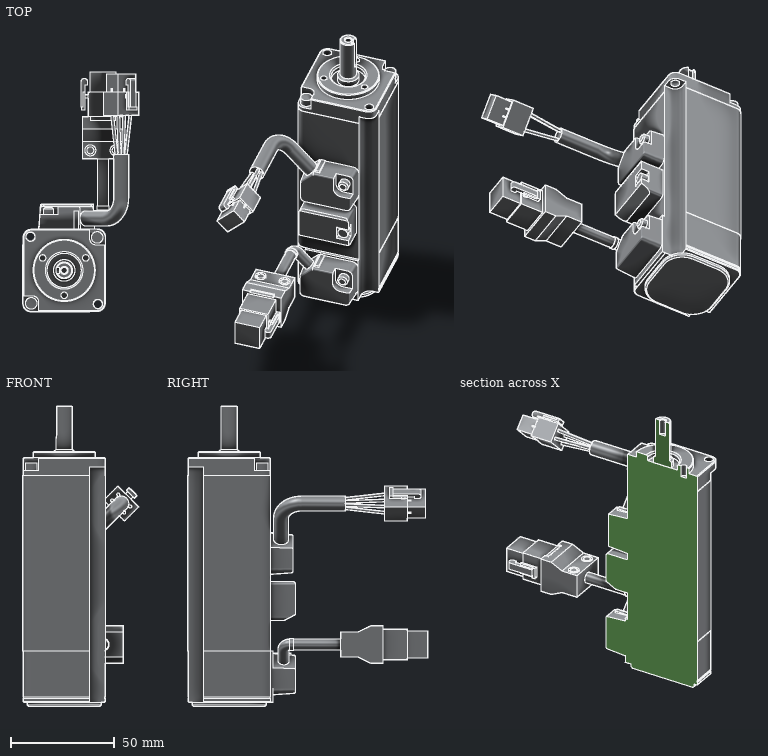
import cadquery as cq
import math


frame_side = 40.0
cover_side = 39.7
corner_radius = 4.0
flange_end_z = -8.5
frame_end_z = -93.2
groove_top_z = -115.4
groove_bottom_z = -116.2
groove_depth = 0.2
cover_end_z = -118.0
end_plate_z = -120.1
end_plate_side = 35.8
end_plate_radius = 11.0
end_plate_chamfer = 0.8
edge_chamfer = 0.4

pilot_diameter = 30.0
pilot_height = 3.0
seal_recess_diameter = 16.5
seal_recess_chamfer = 0.8
mount_hole_circle = 46.0
mount_hole_diameter = 4.3
mount_ear_thickness = 4.5
relief_start = 12.3
relief_radius = 4.2
pocket_depth = 6.2
pocket_radius = 3.0
bolt_offset = 15.9
bolt_diameter = 5.6
bolt_top_z = -2.6
pilot_hole_circle = 24.0
pilot_hole_diameter = 3.1
pilot_hole_depth = 6.0

shaft_diameter = 8.0
shaft_tip_z = 25.0
collar_diameter = 10.4
collar_cone_height = 0.9
key_width = 3.0
key_depth = 1.8
key_end_z = 9.4
center_hole_diameter = 3.0
center_hole_depth = 8.0
center_hole_chamfer = 0.4

connector_left = -12.2
connector_right = 14.7
connector_height = 19.9
connector_depth = 10.8
connector_draft = 4.0
connector_radius = 3.0
connector_edge_radius = 0.8
exit_chamfer = 6.9
exit_rib_width = 2.2
exit_rib_length = 8.7
exit_rib_height = 0.3
screw_notch_right = -3.0
screw_notch_height = 10.9
screw_notch_depth = 3.9
screw_notch_radius = 4.0
screw_head_x = -7.6
screw_head_drop = 5.1
screw_head_diameter = 5.0
screw_head_height = 3.4
wall_y = frame_side / 2
power_top_z = -36.4
encoder_top_z = -94.5
encoder_pad_thickness = 1.2

brake_top_z = -59.6
brake_bottom_z = -78.6
brake_left = -11.0
brake_right = 14.2
brake_depth = 12.0
brake_side_radius = 2.0
brake_top_chamfer = 0.9
brake_slope_depth = 5.5
brake_slope_height = 2.9
brake_notch_depth = 4.2
brake_notch_height = 6.7
brake_notch_width = 6.0
brake_notch_z = -69.3

cable_axis_above_wall = 5.0
cable_insertion = 1.5
power_cable_diameter = 7.3
power_bend_radius = 10.0
power_x = 27.5
power_z = -22.1
power_cable_end_y = 56.0
plug_step_y = 86.0
power_plug_back_y = 74.8
power_plug_front_y = 94.8
power_plug_width = 14.2
power_plug_thickness = 9.75
power_plug_step = 1.0
wire_diameter = 1.4
wire_pitch_width = 8.4
wire_pitch_thickness = 4.2
wire_gather = 0.5
plug_rib_length = 1.8
plug_rib_width = 0.6
plug_rib_height = 0.4
plug_rib_offset = 2.0

encoder_cable_diameter = 5.4
encoder_bend_radius = 3.2
encoder_x = 18.7
encoder_z = -90.1
ferrule_diameter = 6.0
ferrule_start_y = 29.2
ferrule_end_y = 31.0
encoder_plug_back_y = 74.2
encoder_plug_front_y = 95.8
encoder_plug_width = 14.8
encoder_plug_thickness = 14.4
encoder_plug_step = 0.85
hood_start_y = 53.8
hood_taper_start_y = 62.2
hood_taper_end_y = 68.3
hood_width = 19.8
hood_small_height = 12.2
hood_height = 18.2
hood_slot_width = 12.0
hood_slot_length = 1.8
hood_slot_depth = 0.6
hood_screw_y = 57.9
hood_screw_pitch = 12.2
hood_recess_diameter = 5.3
hood_recess_depth = 1.2
hood_screw_diameter = 3.4

latch_gap = 1.4
latch_plate = 1.0
latch_width = 5.6
latch_bar_width = 3.6
latch_back = -8.7
latch_heel = 1.6
latch_front = 6.6
hook_length = 3.2
hook_reach = 1.2
hook_radius = 1.55
latch_heel_drop = 0.2
stem_start = -2.9
stem_length = 1.7

overlap = 0.5


def block(x_range, y_range, z_range):
    """Axis-aligned box given by its limits."""
    sizes = [high - low for low, high in (x_range, y_range, z_range)]
    corner = (x_range[0], y_range[0], z_range[0])
    return cq.Workplane("XY").box(*sizes, centered=False).translate(corner)


def square_prism(side, top_z, bottom_z, radius=corner_radius):
    """Square bar on the motor axis with rounded corners."""
    bar = cq.Workplane("XY").workplane(offset=bottom_z).rect(side, side).extrude(top_z - bottom_z)
    return bar.edges("|Z").fillet(radius)


def corner_cutter(sign_x, sign_y, top_z, bottom_z, radius):
    """Block that clears one corner, with its inner edge rounded."""
    size = frame_side
    middle = relief_start + size / 2
    cutter = (
        cq.Workplane("XY").workplane(offset=bottom_z)
        .center(sign_x * middle, sign_y * middle)
        .rect(size, size)
        .extrude(top_z - bottom_z)
    )
    return cutter.edges("|Z").fillet(radius)


def rod_along_y(x, z, diameter, start_y, end_y):
    """Round bar parallel to Y."""
    start = cq.Vector(x, start_y, z)
    return cq.Workplane(obj=cq.Solid.makeCylinder(diameter / 2, end_y - start_y, start, cq.Vector(0, 1, 0)))


def make_barrel():
    """Flange, frame and rear cover, without the connectors."""
    barrel = square_prism(cover_side, 0, flange_end_z).faces(">Z").edges().chamfer(edge_chamfer)
    barrel = barrel.union(square_prism(frame_side, flange_end_z, frame_end_z))
    barrel = barrel.union(square_prism(cover_side, frame_end_z, groove_top_z))
    barrel = barrel.union(square_prism(cover_side - 2 * groove_depth, groove_top_z, groove_bottom_z))
    cover_foot = square_prism(cover_side, groove_bottom_z, cover_end_z)
    barrel = barrel.union(cover_foot.faces("<Z").edges().chamfer(edge_chamfer))
    end_plate = square_prism(end_plate_side, cover_end_z, end_plate_z, end_plate_radius)
    end_plate = end_plate.faces("<Z").edges().chamfer(end_plate_chamfer)

    mount_offset = mount_hole_circle / 2 * math.cos(math.radians(45))
    for sign in (-1, 1):
        barrel = barrel.cut(corner_cutter(sign, -sign, -mount_ear_thickness, cover_end_z, relief_radius))
        barrel = barrel.cut(corner_cutter(sign, sign, overlap, -pocket_depth, pocket_radius))
        bolt = (
            cq.Workplane("XY").workplane(offset=-pocket_depth - overlap)
            .center(sign * bolt_offset, sign * bolt_offset)
            .circle(bolt_diameter / 2)
            .extrude(bolt_top_z + pocket_depth + overlap)
        )
        mount_hole = (
            cq.Workplane("XY").center(sign * mount_offset, -sign * mount_offset)
            .circle(mount_hole_diameter / 2)
            .extrude(-mount_ear_thickness - overlap)
        )
        barrel = barrel.union(bolt).cut(mount_hole)
    return barrel.union(end_plate)


def add_pilot(barrel):
    """Pilot spigot with the seal recess and three small holes."""
    pilot = cq.Workplane("XY").circle(pilot_diameter / 2).extrude(pilot_height)
    pilot = pilot.faces(">Z").edges().chamfer(edge_chamfer)
    recess = cq.Workplane("XY").circle(seal_recess_diameter / 2).extrude(pilot_height)
    rim = (
        cq.Workplane("XY").workplane(offset=pilot_height - seal_recess_chamfer)
        .circle(seal_recess_diameter / 2)
        .workplane(offset=seal_recess_chamfer)
        .circle(seal_recess_diameter / 2 + seal_recess_chamfer)
        .loft()
    )
    holes = (
        cq.Workplane("XY").workplane(offset=pilot_height)
        .polarArray(pilot_hole_circle / 2, 30, 360, 3)
        .circle(pilot_hole_diameter / 2)
        .extrude(-pilot_hole_depth)
    )
    return barrel.union(pilot).cut(recess).cut(rim).cut(holes)


def make_cable_connector(base_y, top_z):
    """Tapered shell with a 45 degree cable face, a rib beside it and a screw in its upper left corner."""
    bottom_z = top_z - connector_height
    outline = [
        (connector_left, bottom_z),
        (connector_right, bottom_z),
        (connector_right, top_z - exit_chamfer),
        (connector_right - exit_chamfer, top_z),
        (connector_left, top_z),
    ]
    top_y = base_y + connector_depth
    section = cq.Sketch().polygon(outline + outline[:1]).vertices("<X or <Y").fillet(connector_radius)
    shell = (
        cq.Workplane("XZ", origin=(0, base_y, 0))
        .placeSketch(section)
        .extrude(-connector_depth, taper=connector_draft)
    )
    shell = shell.faces(">Y").edges().fillet(connector_edge_radius)
    notch_floor_y = top_y - screw_notch_depth
    notch = block(
        (connector_left - overlap, screw_notch_right),
        (notch_floor_y, top_y + overlap),
        (top_z - screw_notch_height, top_z + overlap),
    )
    notch = notch.edges("|Y and >X and <Z").fillet(screw_notch_radius)
    head = rod_along_y(
        screw_head_x, top_z - screw_head_drop, screw_head_diameter,
        notch_floor_y - overlap, notch_floor_y + screw_head_height,
    )
    head = head.faces(">Y").edges().chamfer(connector_edge_radius)
    foot = block(
        (connector_left + connector_radius, connector_right - connector_radius),
        (base_y - overlap, base_y + overlap),
        (bottom_z + connector_radius, top_z - exit_chamfer),
    )
    rib_right = connector_right - exit_chamfer - connector_edge_radius
    rib = block(
        (rib_right - exit_rib_width, rib_right),
        (base_y, base_y + exit_rib_length),
        (top_z - screw_notch_depth, top_z + exit_rib_height),
    )
    return shell.cut(notch).union(head).union(foot).union(rib)


def make_encoder_pad():
    """Thin raised seat under the encoder connector."""
    return block(
        (-relief_start, connector_right),
        (wall_y - overlap, wall_y + encoder_pad_thickness),
        (cover_end_z, frame_end_z),
    )


def make_brake_connector():
    """Closed connector with a sloped lower edge and a screw notch on its left side."""
    tip_y = wall_y + brake_depth
    profile = [
        (wall_y - overlap, brake_top_z),
        (tip_y - brake_top_chamfer, brake_top_z),
        (tip_y, brake_top_z - brake_top_chamfer),
        (tip_y, brake_bottom_z + brake_slope_height),
        (tip_y - brake_slope_depth, brake_bottom_z),
        (wall_y - overlap, brake_bottom_z),
    ]
    shell = (
        cq.Workplane("YZ", origin=(brake_left, 0, 0))
        .polyline(profile).close()
        .extrude(brake_right - brake_left)
    )
    shell = shell.edges("|Y").edges("<Z or >Z").fillet(brake_side_radius)
    floor_y = tip_y - brake_notch_depth
    notch = block(
        (brake_left - overlap, brake_left + brake_notch_width),
        (floor_y, tip_y + overlap),
        (brake_notch_z - brake_notch_height / 2, brake_notch_z + brake_notch_height / 2),
    )
    head_x = brake_left + brake_notch_width / 2
    head = rod_along_y(head_x, brake_notch_z, screw_head_diameter, floor_y - overlap, tip_y - overlap)
    return shell.cut(notch).union(head)


def make_cable(diameter, bend_radius, axis_y, target, face_sum, end_y):
    """Cable leaving a connector at 45 degrees and bending to run along +Y at target (x, z).

    face_sum is x + z on the 45 degree connector face.
    """
    x, z = target
    diagonal = math.cos(math.radians(45))
    run = (x + z - face_sum) / 2 + cable_insertion
    start = (x - run, axis_y, z - run)
    bend_start = (x - bend_radius * diagonal, axis_y, z - bend_radius * diagonal)
    bend_lag = bend_radius * (1 - diagonal)
    bend_middle = (x - bend_lag * diagonal, axis_y + bend_lag, z - bend_lag * diagonal)
    bend_end = (x, axis_y + bend_radius, z)
    path = cq.Wire.assembleEdges([
        cq.Edge.makeLine(cq.Vector(*start), cq.Vector(*bend_start)),
        cq.Edge.makeThreePointArc(cq.Vector(*bend_start), cq.Vector(*bend_middle), cq.Vector(*bend_end)),
        cq.Edge.makeLine(cq.Vector(*bend_end), cq.Vector(x, end_y, z)),
    ])
    start_plane = cq.Plane(origin=start, xDir=(0, 1, 0), normal=(1, 0, 1))
    return cq.Workplane(start_plane).circle(diameter / 2).sweep(cq.Workplane(obj=path))


def make_plug(width, thickness, step, back_y, front_y):
    """Two-step plug about the Y axis, width along X, with its latch on the +Z face."""
    rear = block((-width / 2, width / 2), (back_y, plug_step_y), (-thickness / 2, thickness / 2))
    half_nose_width = width / 2 - step
    half_nose_thickness = thickness / 2 - step
    nose = block(
        (-half_nose_width, half_nose_width),
        (plug_step_y - overlap, front_y),
        (-half_nose_thickness, half_nose_thickness),
    )
    latch_low = thickness / 2 + latch_gap
    latch_middle = latch_low + latch_plate
    latch_high = latch_middle + latch_plate
    half_wide = latch_width / 2
    half_bar = latch_bar_width / 2
    back = plug_step_y + latch_back
    tip = plug_step_y + latch_front
    stem_y = plug_step_y + stem_start
    hook = block((-half_bar, half_bar), (tip - hook_length, tip), (latch_low - hook_reach, latch_high))
    hook = hook.faces(">Y").edges("|X").fillet(hook_radius)
    pieces = [
        block((-half_wide, half_wide), (back, plug_step_y), (latch_low, latch_middle)),
        block((-half_wide, half_wide), (back, back + latch_heel), (latch_low, latch_high - latch_heel_drop)),
        block((-half_bar, half_bar), (back + latch_heel, tip - hook_length), (latch_low, latch_high)),
        hook,
        block((-half_bar, half_bar), (stem_y, stem_y + stem_length), (thickness / 2 - overlap, latch_middle)),
    ]
    plug = rear.union(nose)
    for piece in pieces:
        plug = plug.union(piece)
    return plug


def make_power_plug():
    """Power plug with keying ribs and four loose wires, turned 45 degrees about its cable."""
    plug = make_plug(
        power_plug_width, power_plug_thickness, power_plug_step, power_plug_back_y, power_plug_front_y,
    )
    rib_y = (plug_step_y - overlap, plug_step_y + plug_rib_length)
    half_rib = plug_rib_width / 2
    half_width = power_plug_width / 2 - power_plug_step + plug_rib_height
    half_thickness = power_plug_thickness / 2 - power_plug_step + plug_rib_height
    plug = plug.union(block((-half_width, half_width), rib_y, (-half_rib, half_rib)))
    for rib_x in (-plug_rib_offset, plug_rib_offset):
        rib = block((rib_x - half_rib, rib_x + half_rib), rib_y, (-half_thickness, half_thickness))
        plug = plug.union(rib)

    for sign_x in (-1, 1):
        for sign_z in (-1, 1):
            wire_x = sign_x * wire_pitch_width / 2
            wire_z = sign_z * wire_pitch_thickness / 2
            plug_end = cq.Vector(wire_x, power_plug_back_y + overlap, wire_z)
            cable_end = cq.Vector(wire_x * wire_gather, power_cable_end_y - overlap, wire_z * wire_gather)
            run = plug_end - cable_end
            wire = cq.Solid.makeCylinder(wire_diameter / 2, run.Length, cable_end, run)
            plug = plug.union(cq.Workplane(obj=wire))
    return plug.rotate((0, 0, 0), (0, 1, 0), 45).translate((power_x, 0, power_z))


def make_hood():
    """Tapered cable hood behind the encoder plug, with two sunk screws."""
    half_small = hood_small_height / 2
    half_large = hood_height / 2
    profile = [
        (hood_start_y, -half_small),
        (hood_taper_start_y, -half_small),
        (hood_taper_end_y, -half_large),
        (encoder_plug_back_y, -half_large),
        (encoder_plug_back_y, half_large),
        (hood_taper_end_y, half_large),
        (hood_taper_start_y, half_small),
        (hood_start_y, half_small),
    ]
    hood = cq.Workplane("YZ").polyline(profile).close().extrude(hood_width / 2, both=True)
    slot = block(
        (-hood_slot_width / 2, hood_slot_width / 2),
        (encoder_plug_back_y - hood_slot_length, encoder_plug_back_y),
        (half_large - hood_slot_depth, half_large),
    )
    recess_rings = (
        cq.Workplane("XY").workplane(offset=half_small)
        .pushPoints([(side * hood_screw_pitch / 2, hood_screw_y) for side in (-1, 1)])
        .circle(hood_recess_diameter / 2)
        .circle(hood_screw_diameter / 2)
        .extrude(-hood_recess_depth)
    )
    return hood.cut(slot).cut(recess_rings).translate((encoder_x, 0, encoder_z))


def make_encoder_plug():
    """Encoder plug turned so that its latch faces -X."""
    plug = make_plug(
        encoder_plug_width, encoder_plug_thickness, encoder_plug_step,
        encoder_plug_back_y - overlap, encoder_plug_front_y,
    )
    return plug.rotate((0, 0, 0), (0, 1, 0), -90).translate((encoder_x, 0, encoder_z))


def make_shaft():
    """Keyed output shaft with a coned collar standing in the seal recess."""
    collar_radius = collar_diameter / 2
    shaft_radius = shaft_diameter / 2
    profile = [
        (0, 0),
        (collar_radius, 0),
        (collar_radius, pilot_height),
        (shaft_radius, pilot_height + collar_cone_height),
        (shaft_radius, shaft_tip_z - edge_chamfer),
        (shaft_radius - edge_chamfer, shaft_tip_z),
        (0, shaft_tip_z),
    ]
    shaft = cq.Workplane("XZ").polyline(profile).close().revolve(360, (0, 0, 0), (0, 1, 0))
    half_key = key_width / 2
    keyway = (
        cq.Workplane("YZ", origin=(key_depth - shaft_radius, 0, 0))
        .moveTo(-half_key, shaft_tip_z)
        .lineTo(-half_key, key_end_z + half_key)
        .threePointArc((0, key_end_z), (half_key, key_end_z + half_key))
        .lineTo(half_key, shaft_tip_z)
        .close()
        .extrude(-shaft_diameter)
    )
    center_hole = (
        cq.Workplane("XY").workplane(offset=shaft_tip_z)
        .circle(center_hole_diameter / 2)
        .extrude(-center_hole_depth)
    )
    center_cone = cq.Solid.makeCone(
        center_hole_diameter / 2, center_hole_diameter / 2 + center_hole_chamfer, center_hole_chamfer,
        cq.Vector(0, 0, shaft_tip_z - center_hole_chamfer),
    )
    return shaft.cut(keyway).cut(center_hole).cut(cq.Workplane(obj=center_cone))


def make_motor():
    """Motor barrel with its connectors, cables and plugs as one solid."""
    encoder_wall_y = wall_y + encoder_pad_thickness
    face_offset = connector_right - exit_chamfer
    power_cable = make_cable(
        power_cable_diameter, power_bend_radius, wall_y + cable_axis_above_wall,
        (power_x, power_z), face_offset + power_top_z, power_cable_end_y,
    )
    encoder_cable = make_cable(
        encoder_cable_diameter, encoder_bend_radius, encoder_wall_y + cable_axis_above_wall,
        (encoder_x, encoder_z), face_offset + encoder_top_z, hood_start_y + overlap,
    )
    ferrule = rod_along_y(encoder_x, encoder_z, ferrule_diameter, ferrule_start_y, ferrule_end_y)
    motor = add_pilot(make_barrel())
    parts = [
        make_encoder_pad(),
        make_cable_connector(wall_y, power_top_z),
        make_cable_connector(encoder_wall_y, encoder_top_z),
        make_brake_connector(),
        power_cable,
        encoder_cable,
        ferrule,
        make_power_plug(),
        make_hood(),
        make_encoder_plug(),
    ]
    for part in parts:
        motor = motor.union(part)
    return motor


motor = make_motor()
shaft = make_shaft()
result = cq.Compound.makeCompound([motor.val(), shaft.val()])